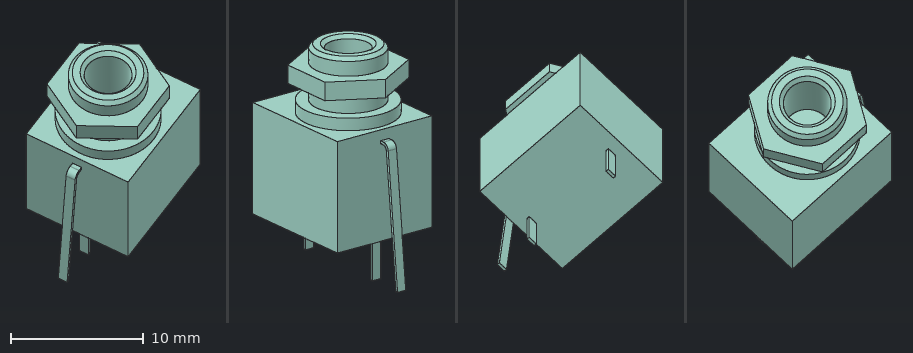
import cadquery as cq
import math

total_height = 18.01

body_width = 9.0
body_depth = 10.5
body_height = 9.0
body_bottom = 3.5
body_top = body_bottom + body_height
body_front = -body_width / 2
body_back = body_front + body_depth

sleeve_diameter = 6.0
sleeve_height = total_height - body_top
bore_diameter = 3.6
edge_chamfer = 0.3
collar_diameter = 8.0
collar_height = 1.0
nut_across_flats = collar_diameter
nut_height = 1.5
nut_top_gap = 1.5

terminal_width = 0.8
terminal_thickness = 0.23
pin_inset = 1.12
pin_centres = (body_front + pin_inset, body_back - pin_inset)

lead_drop = 0.88
lead_top = body_top - lead_drop
lead_reach = 2.1
lead_tilt = math.radians(6)
bend_outer_radius = 0.6


def make_body():
    return cq.Workplane("XY").box(
        body_width, body_depth, body_height, centered=(True, False, False)
    ).translate((0, body_front, body_bottom))


def make_sleeve():
    """Sleeve with chamfered rim, seated on the housing."""
    return (
        cq.Workplane("XY", origin=(0, 0, body_top))
        .circle(sleeve_diameter / 2)
        .extrude(sleeve_height)
        .faces(">Z")
        .chamfer(edge_chamfer)
    )


def make_collar():
    return (
        cq.Workplane("XY", origin=(0, 0, body_top))
        .circle(collar_diameter / 2)
        .extrude(collar_height)
    )


def make_nut():
    """Hexagonal nut with corners toward front and back."""
    nut_bottom = total_height - nut_top_gap - nut_height
    across_corners = nut_across_flats / math.cos(math.pi / 6)
    return (
        cq.Workplane("XY", origin=(0, 0, nut_bottom))
        .polygon(6, across_corners)
        .extrude(nut_height)
        .rotate((0, 0, 0), (0, 0, 1), 90)
    )


def make_bore():
    """Blind bore down to the housing, with a countersunk mouth."""
    bore = (
        cq.Workplane("XY", origin=(0, 0, body_top))
        .circle(bore_diameter / 2)
        .extrude(sleeve_height)
    )
    mouth = (
        cq.Workplane("XY", origin=(0, 0, total_height))
        .circle(bore_diameter / 2 + edge_chamfer)
        .workplane(offset=-edge_chamfer)
        .circle(bore_diameter / 2)
        .loft()
    )
    return bore.union(mouth)


def make_pin(y):
    return cq.Workplane("XY", origin=(0, y, 0)).rect(terminal_width, terminal_thickness).extrude(body_bottom)


def make_lead():
    """Strip leaving the front face, bent down into a sloping leg."""
    bend_angle = math.pi / 2 - lead_tilt
    bend_z = lead_top - bend_outer_radius
    bend_end_z = bend_z + bend_outer_radius * math.cos(bend_angle)
    leg_run = bend_end_z * math.tan(lead_tilt)
    bend_y = body_front - lead_reach + leg_run + bend_outer_radius * math.sin(bend_angle)
    bend_inner_radius = bend_outer_radius - terminal_thickness
    foot_outer_y = body_front - lead_reach
    foot_inner_y = foot_outer_y + terminal_thickness / math.cos(lead_tilt)

    def on_bend(radius, angle):
        """Point on the bend, the angle measured from its top."""
        return (bend_y - radius * math.sin(angle), bend_z + radius * math.cos(angle))

    return (
        cq.Workplane("YZ")
        .moveTo(body_front, lead_top)
        .lineTo(*on_bend(bend_outer_radius, 0))
        .threePointArc(on_bend(bend_outer_radius, bend_angle / 2), on_bend(bend_outer_radius, bend_angle))
        .lineTo(foot_outer_y, 0)
        .lineTo(foot_inner_y, 0)
        .lineTo(*on_bend(bend_inner_radius, bend_angle))
        .threePointArc(on_bend(bend_inner_radius, bend_angle / 2), on_bend(bend_inner_radius, 0))
        .lineTo(body_front, lead_top - terminal_thickness)
        .close()
        .extrude(terminal_width / 2, both=True)
    )


result = make_body().union(make_sleeve()).union(make_collar()).union(make_nut())
result = result.cut(make_bore())
for pin_y in pin_centres:
    result = result.union(make_pin(pin_y))
result = result.union(make_lead())